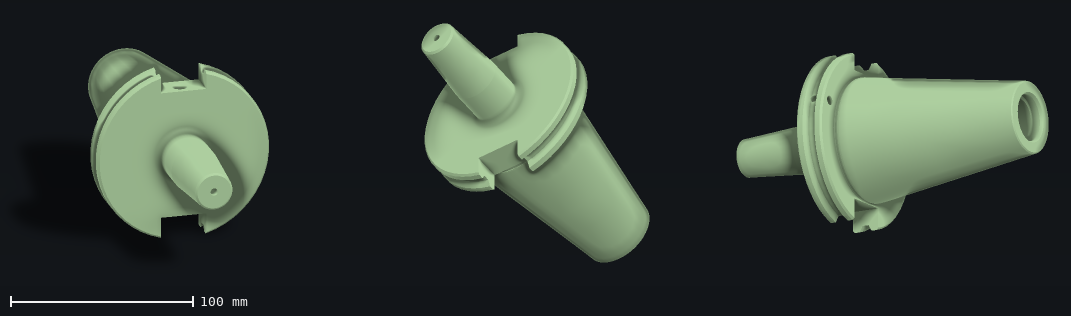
import cadquery as cq
import math

total_length = 181.6

taper_length = 101.5
gauge_diameter = 70.0
taper_ratio = 7 / 24
small_end_diameter = gauge_diameter - taper_length * taper_ratio
small_end_chamfer = 0.64
land_end = 102.6
neck_diameter = 69.2
neck_bevel = 0.5

flange_start = 104.6
flange_width = 16.0
flange_end = flange_start + flange_width
flange_middle = flange_start + flange_width / 2
flange_diameter = 98.0
flange_chamfer = 1.0
groove_bottom_width = 3.8
groove_depth = 3.3
groove_wall_angle = 30
groove_top_width = groove_bottom_width + 2 * groove_depth * math.tan(math.radians(groove_wall_angle))

nose_diameter = 27.0
nose_fillet = 3.3
nose_taper_start = 143.6
nose_taper_angle = 4.5
nose_tip_chamfer = 1.0

mouth_diameter = 28.0
mouth_depth = 1.8
counterbore_diameter = 26.2
counterbore_depth = 6.2
bore_diameter = 22.0
bore_depth = 45.4
coolant_diameter = 4.2

slot_width = 25.8
upper_floor = 37.5
lower_floor = 35.2
dimple_diameter = 9.5

port_angle = 20
port_circle_radius = 42.0
port_diameter = 5.0
port_slant = 30
port_lead = 3.6
port_depth = (flange_middle - flange_start) / math.cos(math.radians(port_slant))
screw_hole_diameter = 4.2
screw_hole_inner_radius = port_circle_radius - port_depth * math.sin(math.radians(port_slant))

drill_point_angle = 118


def tip_length(diameter):
    """Length of the conical tip left by a drill."""
    return diameter / 2 / math.tan(math.radians(drill_point_angle / 2))


def make_drill(diameter, depth):
    """Drill standing on the origin, pointing along +X, with a conical tip."""
    radius = diameter / 2
    outline = cq.Workplane("XY").lineTo(0, radius)
    if depth > 0:
        outline = outline.lineTo(depth, radius)
    return (
        outline.lineTo(depth + tip_length(diameter), 0)
        .close()
        .revolve(360, (0, 0, 0), (1, 0, 0))
    )


def make_body():
    """Taper, neck, grooved flange and nose, revolved in one piece."""
    small_radius = small_end_diameter / 2
    gauge_radius = gauge_diameter / 2
    neck_radius = neck_diameter / 2
    rim = flange_diameter / 2
    groove_radius = rim - groove_depth
    nose_radius = nose_diameter / 2
    tip_start = total_length - nose_tip_chamfer
    tip_radius = nose_radius - (tip_start - nose_taper_start) * math.tan(math.radians(nose_taper_angle))
    fillet_end = flange_end + nose_fillet
    arc_offset = nose_fillet * math.sqrt(0.5)
    arc_middle = (fillet_end - arc_offset, nose_radius + nose_fillet - arc_offset)

    return (
        cq.Workplane("XY")
        .moveTo(0, 0)
        .lineTo(0, small_radius - small_end_chamfer)
        .lineTo(small_end_chamfer, small_radius + small_end_chamfer * taper_ratio / 2)
        .lineTo(taper_length, gauge_radius)
        .lineTo(land_end, gauge_radius)
        .lineTo(land_end, neck_radius)
        .lineTo(flange_start - neck_bevel, neck_radius)
        .lineTo(flange_start, neck_radius + neck_bevel)
        .lineTo(flange_start, rim - flange_chamfer)
        .lineTo(flange_start + flange_chamfer, rim)
        .lineTo(flange_middle - groove_top_width / 2, rim)
        .lineTo(flange_middle - groove_bottom_width / 2, groove_radius)
        .lineTo(flange_middle + groove_bottom_width / 2, groove_radius)
        .lineTo(flange_middle + groove_top_width / 2, rim)
        .lineTo(flange_end - flange_chamfer, rim)
        .lineTo(flange_end, rim - flange_chamfer)
        .lineTo(flange_end, nose_radius + nose_fillet)
        .threePointArc(arc_middle, (fillet_end, nose_radius))
        .lineTo(nose_taper_start, nose_radius)
        .lineTo(tip_start, tip_radius)
        .lineTo(total_length, tip_radius - nose_tip_chamfer)
        .lineTo(total_length, 0)
        .close()
        .revolve(360, (0, 0, 0), (1, 0, 0))
    )


def make_bore():
    """Chamfered counterbore, drilled bore and coolant hole along the whole axis."""
    counterbore = (
        cq.Workplane("XY")
        .moveTo(0, 0)
        .lineTo(0, mouth_diameter / 2)
        .lineTo(mouth_depth, counterbore_diameter / 2)
        .lineTo(counterbore_depth, counterbore_diameter / 2)
        .lineTo(counterbore_depth, 0)
        .close()
        .revolve(360, (0, 0, 0), (1, 0, 0))
    )
    coolant_hole = cq.Workplane("YZ").circle(coolant_diameter / 2).extrude(total_length)
    return counterbore.union(make_drill(bore_diameter, bore_depth)).union(coolant_hole)


def make_slot(floor, side):
    """Drive slot across the flange; side is +1 for the top and -1 for the bottom."""
    height = flange_diameter / 2 - floor
    return (
        cq.Workplane("XY")
        .box(flange_width, slot_width, height)
        .translate((flange_middle, 0, side * (floor + height / 2)))
    )


def make_port(angle):
    """Slanted port in the flange face and the radial screw hole that meets it from the groove."""
    port = (
        make_drill(port_diameter, port_lead + port_depth)
        .translate((-port_lead, 0, 0))
        .rotate((0, 0, 0), (0, 0, 1), -port_slant)
        .translate((flange_start, port_circle_radius, 0))
    )
    screw_hole = (
        cq.Workplane("XZ", origin=(flange_middle, screw_hole_inner_radius, 0))
        .circle(screw_hole_diameter / 2)
        .extrude(screw_hole_inner_radius - flange_diameter / 2)
    )
    return port.union(screw_hole).rotate((0, 0, 0), (1, 0, 0), angle)


dimple = (
    make_drill(dimple_diameter, 0)
    .rotate((0, 0, 0), (0, 1, 0), 90)
    .translate((flange_middle, 0, upper_floor))
)

result = make_body().cut(make_bore())
result = result.cut(make_slot(upper_floor, 1)).cut(make_slot(lower_floor, -1)).cut(dimple)
for angle in (port_angle, port_angle + 180):
    result = result.cut(make_port(angle))